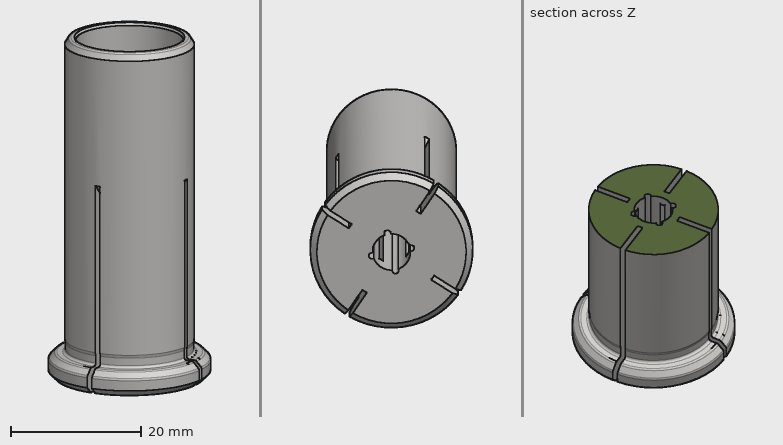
import cadquery as cq
import math

length = 54.0
body_radius = 20.0 / 2
flange_radius = 25.0 / 2

flange_height = 3.95
bottom_chamfer = 1.0
flange_top_chamfer = 1.1
flange_edge_round = 0.5

neck_radius = 9.9
neck_fillet = 0.45
neck_taper_start = 5.55
neck_taper_end = 6.05

rim_chamfer_width = 0.7
rim_chamfer_height = 1.15
rim_round = 0.45
mouth_chamfer_width = 0.2
mouth_chamfer_depth = 0.45

mouth_bore_radius = 16.5 / 2
mouth_bore_floor = 43.85
middle_bore_radius = 10.0 / 2
middle_bore_depth = 2.15
through_radius = 2.9
floor_slope = math.radians(45)

relief_radius = 0.5
relief_offset = 2.15

slot_width = 0.8
slot_outer_top = 32.6
slot_slope = math.radians(45)
flange_core_radius = 7.55


def make_body():
    shoulder_z = flange_height - flange_top_chamfer
    profile = (
        cq.Workplane("XZ")
        .lineTo(flange_radius - bottom_chamfer, 0)
        .lineTo(flange_radius, bottom_chamfer)
        .lineTo(flange_radius, shoulder_z)
        .lineTo(flange_radius - flange_top_chamfer, flange_height)
        .lineTo(neck_radius, flange_height)
        .lineTo(neck_radius, neck_taper_start)
        .lineTo(body_radius, neck_taper_end)
        .lineTo(body_radius, length - rim_chamfer_height)
        .lineTo(body_radius - rim_chamfer_width, length)
        .lineTo(0, length)
        .close()
    )
    body = profile.revolve(360, (0, 0, 0), (0, 1, 0))

    def circle_edge(radius, height):
        near = 0.005
        return body.edges("%CIRCLE").filter(
            lambda e: abs(e.radius() - radius) < near and abs(e.Center().z - height) < near
        )

    body = circle_edge(flange_radius, shoulder_z).fillet(flange_edge_round)
    chamfer_inner_radius = flange_radius - flange_top_chamfer
    body = circle_edge(chamfer_inner_radius, flange_height).fillet(flange_edge_round)
    body = circle_edge(neck_radius, flange_height).fillet(neck_fillet)
    return circle_edge(body_radius - rim_chamfer_width, length).fillet(rim_round)


def make_bore():
    """Stepped bore: wide mouth, funnel, middle bore, funnel, through hole."""
    funnel_bottom = mouth_bore_floor - (mouth_bore_radius - middle_bore_radius) * math.tan(floor_slope)
    middle_floor = funnel_bottom - middle_bore_depth
    through_top = middle_floor - (middle_bore_radius - through_radius) * math.tan(floor_slope)
    return (
        cq.Workplane("XZ")
        .lineTo(through_radius, 0)
        .lineTo(through_radius, through_top)
        .lineTo(middle_bore_radius, middle_floor)
        .lineTo(middle_bore_radius, funnel_bottom)
        .lineTo(mouth_bore_radius, mouth_bore_floor)
        .lineTo(mouth_bore_radius, length - mouth_chamfer_depth)
        .lineTo(mouth_bore_radius + mouth_chamfer_width, length)
        .lineTo(0, length)
        .close()
        .revolve(360, (0, 0, 0), (0, 1, 0))
    )


def make_relief():
    """Round relief on the diagonal between +X and +Y."""
    return (
        cq.Workplane("XY")
        .center(relief_offset, relief_offset)
        .circle(relief_radius)
        .extrude(mouth_bore_floor)
    )


def make_slot():
    """Slot along +X whose upper end rises outwards; it leaves the core of the flange whole."""
    slope = math.tan(slot_slope)
    axis_top = slot_outer_top - body_radius * slope
    edge_top = slot_outer_top + (flange_radius - body_radius) * slope
    return (
        cq.Workplane("XZ")
        .polyline(
            [
                (flange_core_radius, 0),
                (flange_radius, 0),
                (flange_radius, edge_top),
                (0, axis_top),
                (0, flange_height),
                (flange_core_radius, flange_height),
            ]
        )
        .close()
        .extrude(slot_width / 2, both=True)
    )


result = make_body().cut(make_bore())
relief = make_relief()
slot = make_slot()
for quarter in range(4):
    angle = 90 * quarter
    result = result.cut(relief.rotate((0, 0, 0), (0, 0, 1), angle))
    result = result.cut(slot.rotate((0, 0, 0), (0, 0, 1), angle))